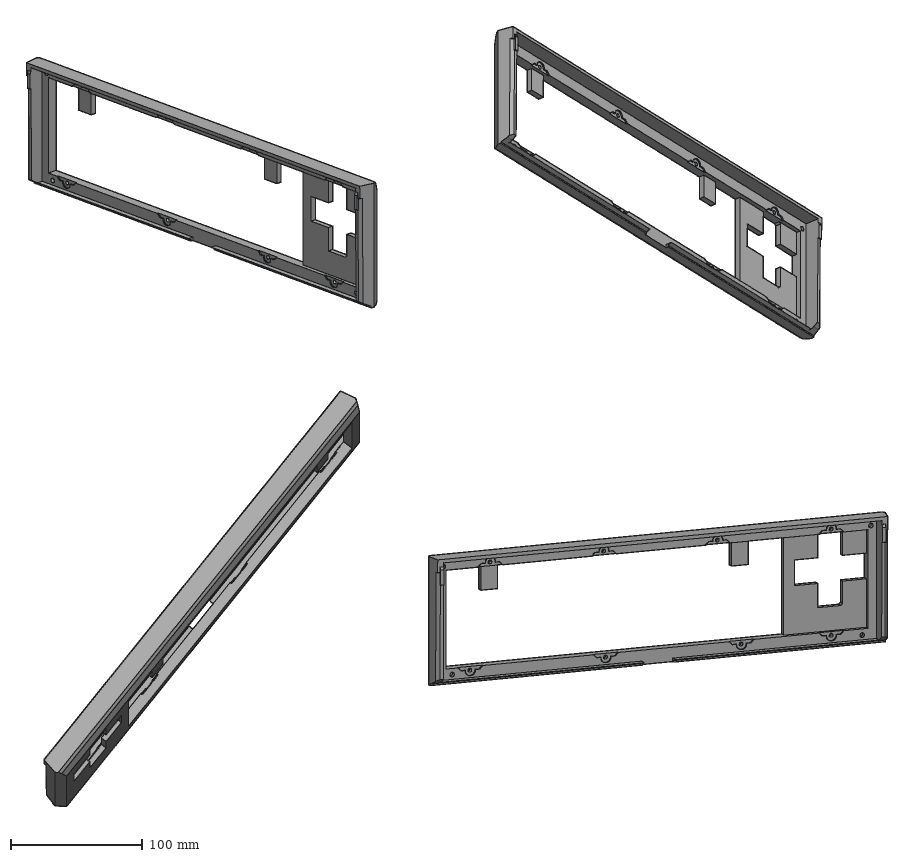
import cadquery as cq

LENGTH = 373.0
HEIGHT = 101.0
DEPTH = 21.3

TOP = HEIGHT / 2
BOTTOM = -TOP
BACK = DEPTH / 2
PAD_FRONT = -BACK

RIM_TOP_Y = -9.7
RIM_BOTTOM_Y = -9.0
RIM_BOTTOM_Z = -44.0

LOWER_LIP_Y = 0.5
LOWER_LIP_Z = -49.2
UNDERSIDE_Y = -5.2
UNDERSIDE_Z = -46.5

CREST_Y = 5.2
BEVEL_Y = 7.5
BEVEL_Z = 48.5
BACK_TOP_Z = 41.8
BACK_CHAMFER_Y = 2.2
BACK_CHAMFER_Z = 1.5

WIDEST_Y = 3.0
BACK_END_INSET = 5.0
FRONT_END_INSET = 2.5
RIM_CHAMFER = 2.2
RIM_CHAMFER_TOP_Z = 40.3

RECESS_HALF_LENGTH = 179.0
RECESS_HALF_HEIGHT = 47.7
FLOOR_Y = 2.2
WINDOW_HALF_LENGTH = 172.5
WINDOW_TOP = 38.5
WINDOW_BOTTOM = -39.0
NOTCH_HALF_LENGTH = 12.5

PAD_WIDTH = 3.0
PAD_BOTTOM_Z = 30.5
PAD_TOP_Z = 42.5
PAD_RAMP = 2.2

PLATE_FRONT_Y = 6.0
PLATE_LEFT = 104.8
KEY = 20.0
CROSS_X = 143.0
CROSS_Z = 9.0
ARM_TOP = CROSS_Z + KEY / 2
CROSS_LEFT = 113.8
CROSS_BOTTOM = -20.0
CROSS_CORNER = 1.5
TAB_WIDTH = 13.8
TAB_XS = (-135.8, 69.0)

SEAT_XS_TOP = (-136.0, -43.3, 49.5, 142.5)
SEAT_XS_BOTTOM = (-152.5, -41.8, 69.0, 142.5)
SEAT_RADIUS = 4.0
SEAT_OFFSET = 3.0
SEAT_WING_LENGTH = 20.0
SEAT_WING_HEIGHT = 2.5
SEAT_DEPTH = 1.0
SCREW_DIAMETER = 3.0
SCREW_DEPTH = 3.7
CORNER_DIAMETER = 3.5
CORNER_DEPTH = 3.7
CORNER_HOLES = ((174.5, 41.5), (167.5, -44.0))


def block(x0, x1, y0, y1, z0, z1):
    """Box between opposite corners."""
    return cq.Workplane("XY").box(x1 - x0, y1 - y0, z1 - z0, centered=False).translate((x0, y0, z0))


def along_y(sketch, y0, depth):
    """Extrude an XZ sketch backwards (+Y) from y0."""
    return sketch.extrude(-depth).translate((0, y0, 0))


def body():
    """Solid bar with tapered ends; the rim's end edges are chamfered below the upper corners."""
    side = [
        (CREST_Y, TOP),
        (BEVEL_Y, BEVEL_Z),
        (BACK, BACK_TOP_Z),
        (BACK, BOTTOM + BACK_CHAMFER_Z),
        (BACK - BACK_CHAMFER_Y, BOTTOM),
        (LOWER_LIP_Y, BOTTOM),
        (LOWER_LIP_Y, LOWER_LIP_Z),
        (UNDERSIDE_Y, UNDERSIDE_Z),
        (RIM_BOTTOM_Y, RIM_BOTTOM_Z),
        (RIM_TOP_Y, TOP),
    ]
    half = LENGTH / 2
    right_end = [
        (half - FRONT_END_INSET, RIM_TOP_Y),
        (half, WIDEST_Y),
        (half - BACK_END_INSET, BACK),
    ]
    left_end = [(-x, y) for x, y in reversed(right_end)]
    bar = cq.Workplane("YZ").polyline(side).close().extrude(half, both=True)
    ends = cq.Workplane("XY").polyline(right_end + left_end).close().extrude(HEIGHT, both=True)
    square = bar.intersect(ends)
    chamfered = square.faces("<Y").edges("<X or >X").chamfer(RIM_CHAMFER)
    upper = square.intersect(block(-half, half, -BACK, BACK, RIM_CHAMFER_TOP_Z, TOP))
    return chamfered.union(upper)


def rim_pad():
    """Raised pad on the rim, at the right end."""
    profile = [
        (FLOOR_Y, PAD_BOTTOM_Z),
        (PAD_FRONT, PAD_BOTTOM_Z),
        (PAD_FRONT, PAD_TOP_Z),
        (RIM_TOP_Y, PAD_TOP_Z + PAD_RAMP),
        (FLOOR_Y, PAD_TOP_Z + PAD_RAMP),
    ]
    return (
        cq.Workplane("YZ").polyline(profile).close().extrude(PAD_WIDTH).translate((RECESS_HALF_LENGTH, 0, 0))
    )


def screw_seat(x, window_z, outward):
    """Shallow winged seat and blind screw hole next to a window edge; outward is the Z sign."""
    centre_z = window_z + outward * SEAT_OFFSET
    half = SEAT_WING_LENGTH / 2
    shoulder = half - SEAT_WING_HEIGHT
    wing_z = window_z + outward * SEAT_WING_HEIGHT
    wing_points = [(x - half, window_z), (x + half, window_z), (x + shoulder, wing_z), (x - shoulder, wing_z)]
    wings = along_y(cq.Workplane("XZ").polyline(wing_points).close(), FLOOR_Y, SEAT_DEPTH)
    round_seat = along_y(cq.Workplane("XZ").center(x, centre_z).circle(SEAT_RADIUS), FLOOR_Y, SEAT_DEPTH)
    hole = along_y(
        cq.Workplane("XZ").center(x, centre_z).circle(SCREW_DIAMETER / 2), FLOOR_Y, SEAT_DEPTH + SCREW_DEPTH
    )
    return wings.union(round_seat).union(hole)


def cross():
    """Cross-shaped cutter for the plate; the upright's right corners are chamfered."""
    upright = block(CROSS_X - KEY / 2, CROSS_X + KEY / 2, PLATE_FRONT_Y, BACK, CROSS_BOTTOM, WINDOW_TOP)
    upright = upright.edges("|Y and >X").chamfer(CROSS_CORNER)
    arm = block(CROSS_LEFT, WINDOW_HALF_LENGTH, PLATE_FRONT_Y, BACK, CROSS_Z - KEY / 2, ARM_TOP)
    return upright.union(arm)


frame = body()
frame = frame.cut(
    block(-RECESS_HALF_LENGTH, RECESS_HALF_LENGTH, -BACK, FLOOR_Y, -RECESS_HALF_HEIGHT, RECESS_HALF_HEIGHT)
)
frame = frame.cut(block(-NOTCH_HALF_LENGTH, NOTCH_HALF_LENGTH, -BACK, FLOOR_Y, BOTTOM, -RECESS_HALF_HEIGHT))

for x in SEAT_XS_TOP:
    frame = frame.cut(screw_seat(x, WINDOW_TOP, 1))
for x in SEAT_XS_BOTTOM:
    frame = frame.cut(screw_seat(x, WINDOW_BOTTOM, -1))

for x, z in CORNER_HOLES:
    corner_pair = cq.Workplane("XZ").pushPoints([(-x, z), (x, z)]).circle(CORNER_DIAMETER / 2)
    frame = frame.cut(along_y(corner_pair, FLOOR_Y, CORNER_DEPTH))

frame = frame.cut(
    block(-WINDOW_HALF_LENGTH, WINDOW_HALF_LENGTH, FLOOR_Y, BACK, WINDOW_BOTTOM, WINDOW_TOP)
)

plate = block(PLATE_LEFT, WINDOW_HALF_LENGTH, PLATE_FRONT_Y, BACK, WINDOW_BOTTOM, WINDOW_TOP).cut(cross())
frame = frame.union(plate)
for x in TAB_XS:
    tab = block(x - TAB_WIDTH / 2, x + TAB_WIDTH / 2, PLATE_FRONT_Y, BACK, ARM_TOP, WINDOW_TOP)
    frame = frame.union(tab)

pad = rim_pad()
result = frame.union(pad).union(pad.mirror("YZ"))